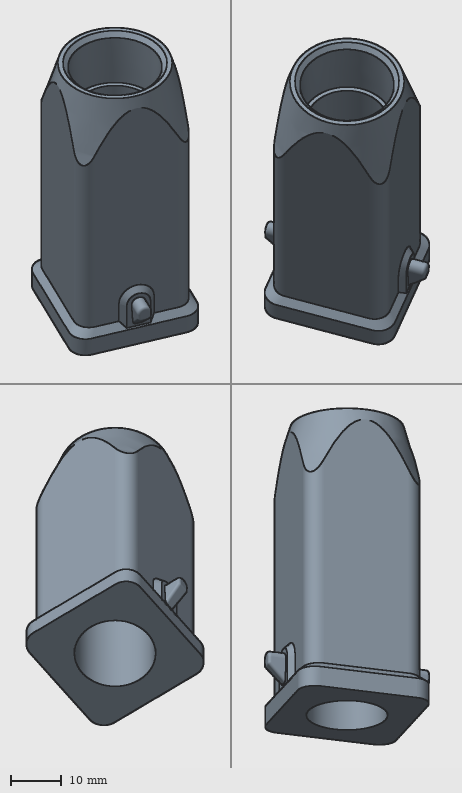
import cadquery as cq
import math

base_width = 27.0
base_height = 4.1
base_corner_radius = 3.5

body_width = 24.0
body_corner_radius = 3.2
total_height = 60.5
shoulder_top = 5.55

nose_top_radius = 11.25
nose_slope_angle = 16.9

mouth_radius = 10.25
mouth_chamfer = 1.0
entry_top_radius = mouth_radius - mouth_chamfer
entry_floor_radius = 8.95
entry_depth = 12.0
through_radius = 8.0

peg_height = 9.9
pad_face_radius = 2.5
pad_thickness = 1.2
pad_root_radius = pad_face_radius + pad_thickness
pad_bottom = base_height / 2
peg_span = 33.5
peg_radius = 1.5
peg_edge_radius = 0.6
peg_tip_bottom = 8.55
gusset_draft_angle = 3.5


def rounded_square(width, corner_radius):
    """Square sketch centred on the Z axis with rounded corners."""
    return cq.Sketch().rect(width, width).vertices().fillet(corner_radius)


def make_base():
    """Flange topped by a sloping shoulder that blends into the shaft outline."""
    flange_outline = rounded_square(base_width, base_corner_radius)
    body_outline = rounded_square(body_width, body_corner_radius)
    flange = cq.Workplane("XY").placeSketch(flange_outline).extrude(base_height)
    shoulder_height = shoulder_top - base_height
    shoulder = (
        cq.Workplane("XY", origin=(0, 0, base_height))
        .placeSketch(flange_outline, body_outline.moved(cq.Location(cq.Vector(0, 0, shoulder_height))))
        .loft()
    )
    return flange.union(shoulder)


def make_body():
    """Rounded square shaft whose top is turned down to a cone."""
    body_outline = rounded_square(body_width, body_corner_radius)
    shaft = cq.Workplane("XY").placeSketch(body_outline).extrude(total_height)
    nose_foot_radius = nose_top_radius + total_height * math.tan(math.radians(nose_slope_angle))
    cone = (
        cq.Workplane("XZ")
        .polyline([(0, 0), (nose_foot_radius, 0), (nose_top_radius, total_height), (0, total_height)])
        .close()
        .revolve(360, (0, 0, 0), (0, 1, 0))
    )
    return shaft.intersect(cone)


def make_bore():
    """Cable entry: chamfered mouth, slightly tapered socket, then a straight through hole."""
    mouth_bottom = total_height - mouth_chamfer
    floor = total_height - entry_depth
    return (
        cq.Workplane("XZ")
        .moveTo(0, 0)
        .lineTo(through_radius, 0)
        .lineTo(through_radius, floor)
        .lineTo(entry_floor_radius, floor)
        .lineTo(entry_top_radius, mouth_bottom)
        .lineTo(mouth_radius, total_height)
        .lineTo(0, total_height)
        .close()
        .revolve(360, (0, 0, 0), (0, 1, 0))
    )


def arched_outline(plane, radius, bottom, draft_angle=0.0):
    """Closed outline: round top on the peg axis, sides narrowing by the draft angle down to bottom."""
    half_foot = radius - (peg_height - bottom) * math.tan(math.radians(draft_angle))
    return (
        plane
        .moveTo(-half_foot, bottom)
        .lineTo(-radius, peg_height)
        .threePointArc((0, peg_height + radius), (radius, peg_height))
        .lineTo(half_foot, bottom)
        .close()
    )


def make_pad():
    """Arched pad on the +X side of the shaft, with 45 degree flanks."""
    plane = cq.Workplane("YZ", origin=(body_width / 2, 0, 0))
    return arched_outline(plane, pad_root_radius, pad_bottom).extrude(pad_thickness, taper=45)


def make_peg():
    """Round-topped peg on the +X side, carried by a sloping gusset and rounded along its free edges."""
    tip = peg_span / 2
    root = body_width / 2 - peg_radius
    root_bottom = peg_tip_bottom - (tip - root)
    blank = arched_outline(cq.Workplane("YZ"), peg_radius, root_bottom, gusset_draft_angle).extrude(tip)
    side_profile = (
        cq.Workplane("XZ")
        .moveTo(root, root_bottom)
        .lineTo(tip, peg_tip_bottom)
        .lineTo(tip, peg_height + peg_radius)
        .lineTo(root, peg_height + peg_radius)
        .close()
        .extrude(peg_radius, both=True)
    )
    peg = blank.intersect(side_profile)
    return peg.faces(">X or <Z").edges().fillet(peg_edge_radius)


result = make_base().union(make_body())
peg_with_pad = make_pad().union(make_peg())
for turn in (0, 180):
    result = result.union(peg_with_pad.rotate((0, 0, 0), (0, 0, 1), turn))
result = result.cut(make_bore())